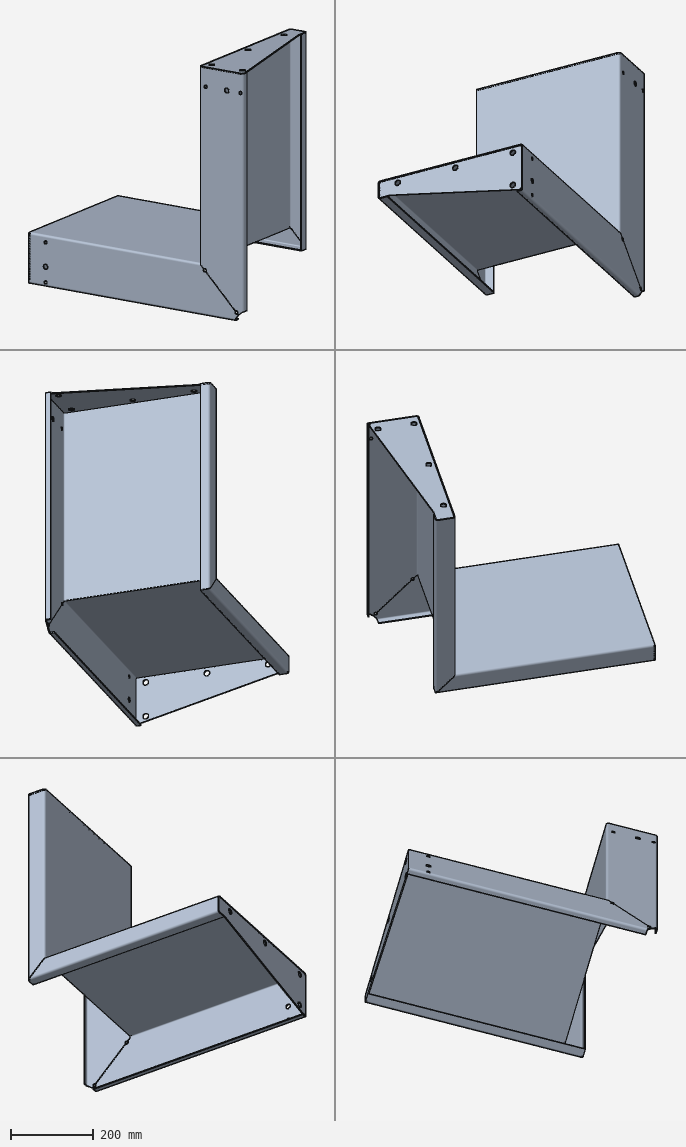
import cadquery as cq

span = 630.0
depth = 400.0
leg_height = 130.0
back_height = 50.0
front_lip = 15.0
back_lip = 25.0
sheet = 3.0
bend_radius = 6.0
inner_radius = bend_radius - sheet
back_edge = leg_height - back_height

relief_at_lip = 27.0
relief_at_bend = 24.5
relief_at_mitre = 16.5

end_hole_inset = 50.0
small_hole = 8.0
large_hole = 12.5
small_hole_heights = (11.0, 112.0)
large_hole_height = 50.5
mitre_hole = 8.0
mitre_hole_heights = (22.0, 114.5)

plate_slope_start = 33.0
plate_front_bottom = 9.0
plate_corner_y = 9.0
plate_corner_z = 4.5
plate_hole = 14.5
plate_hole_top = leg_height - 17.5
plate_hole_low = 22.0
plate_hole_pitch = 159.5
plate_hole_front = 28.0
plate_hole_ys = [plate_hole_front + n * plate_hole_pitch for n in range(3)]


def round_corners(body, corners, radius, mid_x):
    """Fillet the edges along X that pass through the given (y, z) corners."""
    for y, z in corners:
        nearest = cq.NearestToPointSelector((mid_x, y, z))
        body = body.edges("|X").edges(nearest).fillet(radius)
    return body


def channel_blank():
    """Folded sheet of constant section, running the full span along X."""
    inside_top = leg_height - sheet
    section = [
        (front_lip, 0), (0, 0), (0, leg_height), (depth, leg_height),
        (depth, back_edge), (depth - back_lip, back_edge),
        (depth - back_lip, back_edge + sheet), (depth - sheet, back_edge + sheet),
        (depth - sheet, inside_top), (sheet, inside_top), (sheet, sheet), (front_lip, sheet),
    ]
    blank = cq.Workplane("YZ").polyline(section).close().extrude(span)
    outer_corners = section[1:5]
    inner_corners = section[7:11]
    blank = round_corners(blank, outer_corners, bend_radius, span / 2)
    return round_corners(blank, inner_corners, inner_radius, span / 2)


def mitre_waste():
    """Everything beyond the 45 degree plane from the inner to the outer corner."""
    triangle = [(span, 0), (span, span), (0, span)]
    return cq.Workplane("XZ").polyline(triangle).close().extrude(-depth)


def corner_relief():
    """Clears the front lip and trims the front wall at the outer corner."""
    outline = [
        (span - relief_at_lip, 0), (span - relief_at_bend, bend_radius),
        (span - relief_at_mitre, relief_at_mitre), (span, 0),
    ]
    return cq.Workplane("XZ").polyline(outline).close().extrude(-front_lip)


def front_wall_holes():
    """Row of holes near the open end and two holes centred on the mitre line."""
    small_points = [(end_hole_inset, z) for z in small_hole_heights]
    mitre_points = [(span - z, z) for z in mitre_hole_heights]
    wall = cq.Workplane("XZ")
    small = wall.pushPoints(small_points).circle(small_hole / 2).extrude(-sheet)
    large = wall.center(end_hole_inset, large_hole_height).circle(large_hole / 2).extrude(-sheet)
    mitre = wall.pushPoints(mitre_points).circle(mitre_hole / 2).extrude(-sheet)
    return small.union(large).union(mitre)


def make_channel():
    """Level channel, mitred at one end and open at the other."""
    return channel_blank().cut(mitre_waste()).cut(corner_relief()).cut(front_wall_holes())


def make_end_plate():
    """Tapered flat plate set flush inside the open end of a channel."""
    front = sheet
    back = depth - sheet
    top = leg_height - sheet
    back_bottom = back_edge + sheet
    outline = [
        (plate_corner_y, plate_corner_z), (front, plate_front_bottom), (front, top), (back, top),
        (back, back_bottom), (depth - plate_slope_start, back_bottom),
    ]
    plate = cq.Workplane("YZ").polyline(outline).close().extrude(sheet)
    plate = round_corners(plate, outline[2:5], inner_radius, sheet / 2)
    hole_points = [(y, plate_hole_top) for y in plate_hole_ys]
    hole_points.append((plate_hole_front, plate_hole_low))
    holes = cq.Workplane("YZ").pushPoints(hole_points).circle(plate_hole / 2).extrude(sheet)
    return plate.cut(holes)


def to_upright(body):
    """Mirror a body of the level leg across the mitre plane into the upright leg."""
    mitre_normal = cq.Vector(1, 0, 1)
    return body.mirror(mitre_normal, (span, 0, 0))


level_bodies = [make_channel(), make_end_plate()]
upright_bodies = [to_upright(body) for body in level_bodies]

solids = [body.solids().val() for body in level_bodies + upright_bodies]
result = cq.Compound.makeCompound(solids)